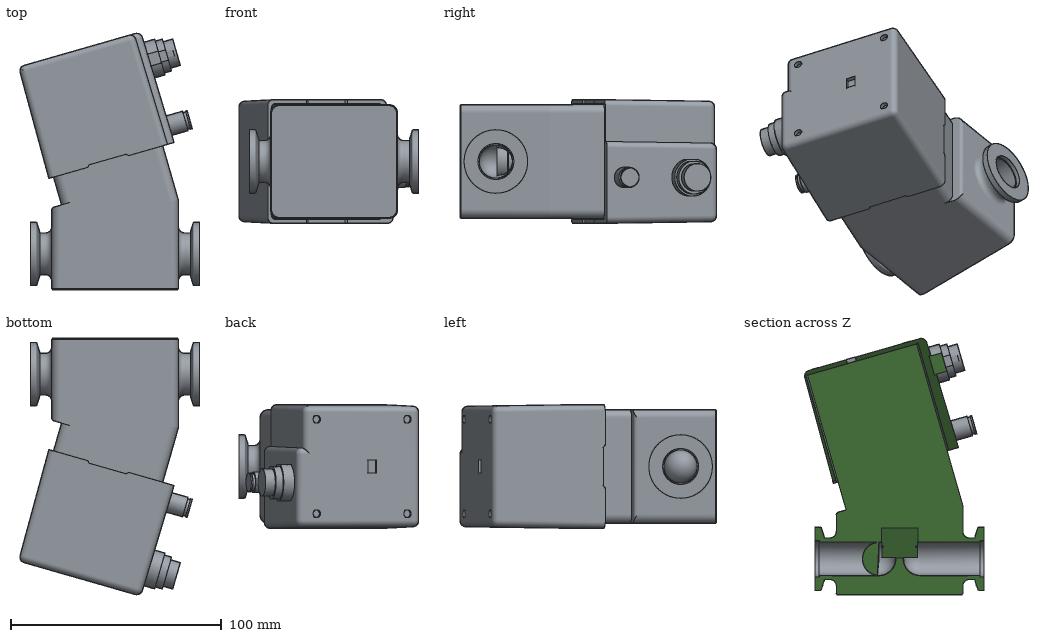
import cadquery as cq
import math

block_width = 60.3
body_height = 54.0
bend_y = 42.5
shoulder_y = 39.0
neck_tilt = 16
neck_width = 54.0
long_edge_radius = 4.0
shoulder_radius = 1.7
shoulder_run = 12.2
neck_root = 6.1
bottom_chamfer = 0.5

port_y = 17.0
flange_span = 80.3
flange_radius = 15.1
rim_width = 2.4
rim_round = 0.7
cone_width = 1.3
cone_angle = 18
stem_radius = 10.0
stem_blend_radius = 2.9
stem_root_depth = 1.2
mouth_radius = 8.5
mouth_depth = 2.0
bore_radius = 7.9
bore_end_x = 9.7

plunger_radius = 8.5
plunger_tip_y = 17.7
plunger_end_y = 31.6
groove_y = 22.6
groove_width = 0.5
groove_depth = 0.7

hood_mouth = 26.9
hood_end = 81.8
hood_width = 58.7
hood_height = 58.8
hood_draft = 0.8
hood_radius = 2.9
hood_wall = 2.0
neck_clearance = 0.6
cavity_radius = 2.7
pad_rise = 3.3
pad_top_z = 9.5
pad_overlap = 7.3
notch_width = 20.2
notch_depth = 1.0
notch_reach = 43.8
screw_pitch = 44.8
screw_hole_diameter = 3.7
window_width = 4.4
window_height = 6.0
window_offset = -5.0

connector_z = -7.5
seat_depth = 1.5
gland_along = 67.8
gland_base_end = 10.2
gland_base_radius = 8.9
gland_base_flat = 2.9
gland_nut_end = 13.8
gland_nut_radius = 7.9
gland_nut_flat = 2.5
gland_cap_end = 18.5
gland_cap_radius = 6.6
gland_cap_flat = 1.3
gland_cap_flat_end = 17.0
plug_along = 35.3
plug_body_end = 13.5
plug_body_radius = 4.9
plug_groove_end = 14.9
plug_groove_radius = 4.1
plug_tip_end = 15.7
plug_tip_radius = 4.5

neck_centre = -neck_width / 2
hood_length = hood_end - hood_mouth
cavity_width = neck_width + 2 * neck_clearance
cavity_height = body_height + 2 * neck_clearance
roof_along = hood_end - hood_wall
pad_face = neck_centre + hood_width / 2 + pad_rise
bend_x = block_width / 2
seat = pad_face - seat_depth


def place_tilted(shape):
    """Move a shape from the neck frame into place.

    In the neck frame the bend corner is the origin, the neck runs along +Y and lies at X <= 0.
    """
    tilted = shape.rotate((0, 0, 0), (0, 0, 1), neck_tilt)
    return tilted.translate((bend_x, bend_y, 0))


def along_plane(along):
    """Plane across the neck axis, with its normal along the neck; its local y points to -Z."""
    return cq.Plane(origin=(0, along, 0), xDir=(1, 0, 0), normal=(0, 1, 0))


def make_block():
    shoulder_rise = shoulder_run * math.tan(math.radians(neck_tilt))
    outline = [
        (-block_width / 2, 0),
        (block_width / 2, 0),
        (bend_x, bend_y),
        (-block_width / 2 + shoulder_run, shoulder_y + shoulder_rise),
        (-block_width / 2, shoulder_y),
    ]
    block = cq.Workplane("XY").polyline(outline).close().extrude(body_height / 2, both=True)
    block = block.faces("<X").edges(">Y").fillet(shoulder_radius)
    rounded_bar = cq.Workplane("XY").box(block_width, 2 * bend_y, body_height)
    rounded_bar = rounded_bar.translate((0, bend_y, 0))
    rounded_bar = rounded_bar.faces("<X").edges("|Y").fillet(long_edge_radius)
    return block.intersect(rounded_bar)


def make_neck():
    outline = [
        (0, 0),
        (0, roof_along),
        (-neck_width, roof_along),
        (-neck_width, neck_root),
    ]
    neck = cq.Workplane("XY").polyline(outline).close().extrude(body_height / 2, both=True)
    neck = neck.faces("<X").edges("|Y").fillet(long_edge_radius)
    return place_tilted(neck)


def fillet_bend_side(body):
    """Round the long edges that run up the +X side of the block and on along the neck."""
    neck_side_middle = place_tilted(cq.Vertex.makeVertex(0, roof_along / 2, 0)).Center()
    for z in (-body_height / 2, body_height / 2):
        block_edge = cq.selectors.NearestToPointSelector((bend_x, bend_y / 2, z))
        neck_edge = cq.selectors.NearestToPointSelector((neck_side_middle.x, neck_side_middle.y, z))
        body = body.edges(block_edge + neck_edge).fillet(long_edge_radius)
    return body


def make_flange():
    """Clamp flange with a stem that flares into the +X side of the block."""
    face = flange_span / 2
    rim_inner = face - rim_width
    slope = math.radians(cone_angle)
    cone_top = rim_inner - rim_round * math.cos(slope)
    cone_top_radius = flange_radius - rim_round * (1 - math.sin(slope))
    cone_foot = cone_top - cone_width
    cone_foot_radius = cone_top_radius - cone_width / math.tan(slope)
    stem_root_x = bend_x - stem_root_depth
    blend_start = bend_x + stem_blend_radius
    profile = (
        cq.Workplane("XY")
        .moveTo(stem_root_x, 0)
        .lineTo(stem_root_x, stem_radius + stem_blend_radius)
        .lineTo(bend_x, stem_radius + stem_blend_radius)
        .radiusArc((blend_start, stem_radius), -stem_blend_radius)
        .lineTo(cone_foot, stem_radius)
        .lineTo(cone_foot, cone_foot_radius)
        .lineTo(cone_top, cone_top_radius)
        .radiusArc((rim_inner, flange_radius), rim_round)
        .lineTo(face, flange_radius)
        .lineTo(face, 0)
        .close()
    )
    flange = profile.revolve(360, (0, 0, 0), (1, 0, 0))
    return flange.translate((0, port_y, 0))


def make_bore():
    """Bore from the +X flange inwards, stepped at its mouth and rounded at its end."""
    face = flange_span / 2
    mouth_plane = cq.Workplane("YZ").workplane(offset=face - mouth_depth)
    mouth = mouth_plane.circle(mouth_radius).extrude(mouth_depth)
    end_plane = cq.Workplane("YZ").workplane(offset=bore_end_x)
    bore = end_plane.circle(bore_radius).extrude(face - bore_end_x)
    rounded_end = cq.Workplane("XY").sphere(bore_radius).translate((bore_end_x, 0, 0))
    return mouth.union(bore).union(rounded_end).translate((0, port_y, 0))


def both_sides(shape):
    """A +X side shape together with its mirror image on the -X side."""
    return shape, shape.mirror("YZ")


def y_cylinder(start_y, end_y, radius):
    plane = cq.Plane(origin=(0, start_y, 0), xDir=(1, 0, 0), normal=(0, 1, 0))
    return cq.Workplane(plane).circle(radius).extrude(end_y - start_y)


def make_valve_body():
    body = make_block().union(make_neck())
    body = fillet_bend_side(body)
    body = body.faces("<Y").edges().chamfer(bottom_chamfer)
    for flange in both_sides(make_flange()):
        body = body.union(flange)
    for bore in both_sides(make_bore()):
        body = body.cut(bore)
    return body.cut(y_cylinder(plunger_tip_y, plunger_end_y, plunger_radius))


def make_plunger():
    plunger = y_cylinder(plunger_tip_y, plunger_end_y, plunger_radius)
    groove = y_cylinder(groove_y, groove_y + groove_width, plunger_radius)
    groove_core = y_cylinder(groove_y, groove_y + groove_width, plunger_radius - groove_depth)
    return plunger.cut(groove.cut(groove_core))


def drafted_box(left, right, bottom, top):
    """Box over the full hood length, drafted and rounded everywhere but at the mouth."""
    box = (
        cq.Workplane(along_plane(hood_mouth))
        .center((left + right) / 2, -(bottom + top) / 2)
        .rect(right - left, top - bottom)
        .extrude(hood_length, taper=hood_draft)
    )
    return box.edges("not <Y").fillet(hood_radius)


def make_notch():
    """Trapezoidal bar along Z with 45 degree ends, standing at the mouth edge."""
    half = notch_width / 2
    outline = [
        (-half, 0),
        (half, 0),
        (half - notch_depth, notch_depth),
        (-half + notch_depth, notch_depth),
    ]
    return cq.Workplane("XY").polyline(outline).close().extrude(notch_reach, both=True)


def make_hood():
    left = neck_centre - hood_width / 2
    right = neck_centre + hood_width / 2
    half_height = hood_height / 2
    hood = drafted_box(left, right, -half_height, half_height)
    pad = drafted_box(right - pad_overlap, pad_face, -half_height, pad_top_z)
    hood = hood.union(pad)

    across_mouth = cq.Workplane(along_plane(hood_mouth)).center(neck_centre, 0)
    cavity = across_mouth.rect(cavity_width, cavity_height).extrude(roof_along - hood_mouth)
    hood = hood.cut(cavity.edges("|Y").fillet(cavity_radius))

    across_roof = cq.Workplane(along_plane(roof_along)).center(neck_centre, 0)
    screw_holes = (
        across_roof.rect(screw_pitch, screw_pitch, forConstruction=True)
        .vertices()
        .circle(screw_hole_diameter / 2)
        .extrude(hood_wall)
    )
    window = across_roof.center(window_offset, 0).rect(window_width, window_height).extrude(hood_wall)
    hood = hood.cut(screw_holes).cut(window)

    notch = make_notch()
    long_side_notch = notch.translate((neck_centre, hood_mouth, 0))
    short_side_notch = notch.rotate((0, 0, 0), (0, 1, 0), 90)
    notch_end = left + hood_wall + neck_clearance
    short_side_notch = short_side_notch.translate((notch_end - notch_reach, hood_mouth, 0))
    return place_tilted(hood.cut(long_side_notch).cut(short_side_notch))


def connector_stage(along, start, end, radius, flat_half_width=0):
    """Cylinder standing on the pad, optionally with a flat along its top."""
    plane = cq.Plane(origin=(0, along, connector_z), xDir=(0, 1, 0), normal=(1, 0, 0))
    stage = cq.Workplane(plane).workplane(offset=start).circle(radius).extrude(end - start)
    if flat_half_width:
        flat_height = math.sqrt(radius**2 - flat_half_width**2)
        cutter = (
            cq.Workplane(plane)
            .workplane(offset=start)
            .center(0, flat_height + radius)
            .rect(2 * radius, 2 * radius)
            .extrude(end - start)
        )
        stage = stage.cut(cutter)
    return stage


def make_cable_gland():
    stages = [
        (seat, gland_base_end, gland_base_radius, gland_base_flat),
        (gland_base_end, gland_nut_end, gland_nut_radius, gland_nut_flat),
        (gland_nut_end, gland_cap_flat_end, gland_cap_radius, gland_cap_flat),
        (gland_cap_flat_end, gland_cap_end, gland_cap_radius, 0),
    ]
    gland = cq.Workplane("XY")
    for start, end, radius, flat_half_width in stages:
        gland = gland.union(connector_stage(gland_along, start, end, radius, flat_half_width))
    return place_tilted(gland)


def make_plug():
    stages = [
        (seat, plug_body_end, plug_body_radius),
        (plug_body_end, plug_groove_end, plug_groove_radius),
        (plug_groove_end, plug_tip_end, plug_tip_radius),
    ]
    plug = cq.Workplane("XY")
    for start, end, radius in stages:
        plug = plug.union(connector_stage(plug_along, start, end, radius))
    return place_tilted(plug)


valve_body = make_valve_body()
plunger = make_plunger()
cable_gland = make_cable_gland()
plug = make_plug()
hood = make_hood().cut(cable_gland).cut(plug)

result = cq.Compound.makeCompound(
    [valve_body.val(), plunger.val(), hood.val(), cable_gland.val(), plug.val()]
)